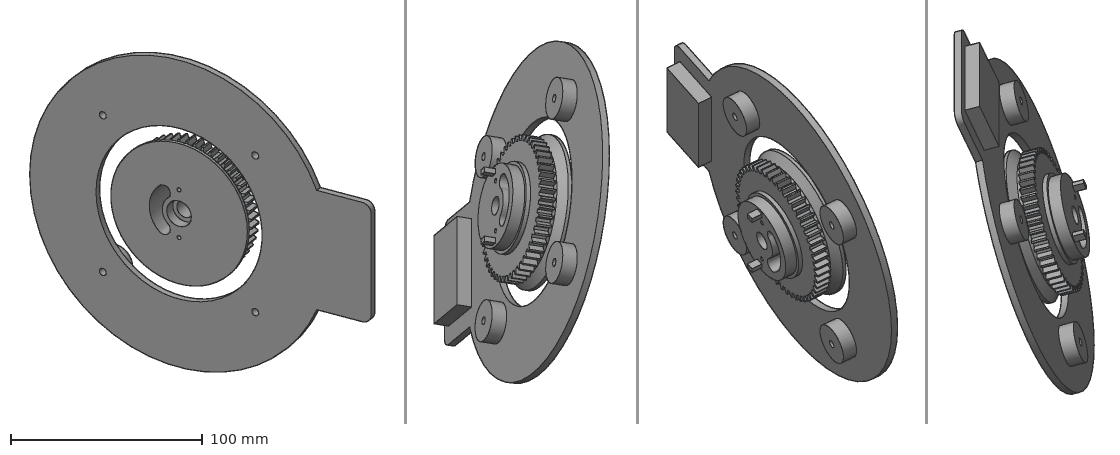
import cadquery as cq
import math


plate_diameter = 180.0
plate_radius = plate_diameter / 2
plate_thickness = 4.0
window_radius = 50.0
overall_length = 205.7
tab_end_x = overall_length - plate_radius
tab_width = 70.0
tab_corner_radius = 5.3

raised_height = 8.2
boss_radius = 11.1
boss_offset = 45.9
boss_hole_radius = 2.0
block_length = 30.0
block_width = 49.4
block_end_x = tab_end_x - tab_corner_radius

flange_radius = 41.1
flange_rim_end = 2.0
flange_taper_end = 6.2
tooth_tip_radius = 38.9
teeth_start = 8.0
teeth_end = 16.3
step_radius = 24.5
step_end = 18.7
hub_radius = 22.6
hub_end = 25.5

tooth_count = 50
groove_depth = 3.0
groove_floor_width = 1.6
groove_mouth_width = 4.0
tooth_root_radius = tooth_tip_radius - groove_depth

lug_end = 31.7
lug_length_x = 4.3
lug_width_z = 2.9
lug_offset_z = 19.3

bore_radius = 5.0
counterbore_radius = 7.5
counterbore_depth = 6.4
hole_circle_radius = 14.0
pin_hole_radius = 1.13
slot_half_width = 4.0
slot_half_angle = 49.0


def plane_at(y):
    """Sketch plane facing +Y at distance y; local x is -X and local y is Z."""
    return cq.Workplane("XZ", origin=(0, y, 0)).transformed(rotate=(0, 180, 0))


def cylinder(radius, start, end, x=0.0, z=0.0):
    """Solid cylinder along Y between two distances from the front face."""
    return plane_at(start).center(-x, z).circle(radius).extrude(end - start)


def box(x_start, x_end, y_start, y_end, z_center, z_width):
    """Axis-aligned box, centred on z_center."""
    size = (x_end - x_start, y_end - y_start, z_width)
    middle = ((x_start + x_end) / 2, (y_start + y_end) / 2, z_center)
    return cq.Workplane("XY").box(*size).translate(middle)


def make_plate():
    """Ring plate with a side tab, four drilled bosses and a block on its back."""
    tab = box(0, tab_end_x, 0, plate_thickness, 0, tab_width)
    tab = tab.edges("|Y and >X").fillet(tab_corner_radius)
    plate = cylinder(plate_radius, 0, plate_thickness).union(tab)
    plate = plate.cut(cylinder(window_radius, 0, plate_thickness))

    raised_end = plate_thickness + raised_height
    boss_centers = [(x, z) for x in (-boss_offset, boss_offset) for z in (-boss_offset, boss_offset)]
    for x, z in boss_centers:
        plate = plate.union(cylinder(boss_radius, plate_thickness, raised_end, x, z))
        plate = plate.cut(cylinder(boss_hole_radius, 0, raised_end, x, z))

    block = box(block_end_x - block_length, block_end_x, plate_thickness, raised_end, 0, block_width)
    return plate.union(block)


def make_pulley_blank():
    """Turned body: tapered front flange, plain tooth ring, step and hub."""
    profile = [
        (0, 0),
        (flange_radius, 0),
        (flange_radius, flange_rim_end),
        (tooth_root_radius, flange_taper_end),
        (tooth_root_radius, teeth_start),
        (tooth_tip_radius, teeth_start),
        (tooth_tip_radius, teeth_end),
        (step_radius, teeth_end),
        (step_radius, step_end),
        (hub_radius, step_end),
        (hub_radius, hub_end),
        (0, hub_end),
    ]
    return cq.Workplane("XY").polyline(profile).close().revolve(360, (0, 0), (0, 1))


def make_tooth_grooves():
    """Trapezoidal grooves around the tooth ring, placed so that one groove points along -X."""
    floor_half = groove_floor_width / 2
    mouth_half = groove_mouth_width / 2
    outer_radius = tooth_tip_radius + groove_depth
    outer_half = 2 * mouth_half - floor_half
    outline = [
        (tooth_root_radius, -floor_half),
        (outer_radius, -outer_half),
        (outer_radius, outer_half),
        (tooth_root_radius, floor_half),
    ]
    groove = plane_at(teeth_start).polyline(outline).close().extrude(teeth_end - teeth_start).val()
    pitch_angle = 360 / tooth_count
    grooves = [
        groove.rotate(cq.Vector(0, 0, 0), cq.Vector(0, 1, 0), index * pitch_angle)
        for index in range(tooth_count)
    ]
    return cq.Workplane(cq.Compound.makeCompound(grooves))


def make_arc_slot():
    """Round-ended slot along an arc centred on the -X side of the bore, through the pulley."""
    def point(radius, angle):
        return (radius * math.cos(math.radians(angle)), radius * math.sin(math.radians(angle)))

    inner = hole_circle_radius - slot_half_width
    outer = hole_circle_radius + slot_half_width
    half = slot_half_angle
    end_bulge = math.degrees(math.atan(slot_half_width / hole_circle_radius))
    tip_radius = math.hypot(hole_circle_radius, slot_half_width)
    return (
        plane_at(0)
        .moveTo(*point(outer, -half))
        .threePointArc(point(outer, 0), point(outer, half))
        .threePointArc(point(tip_radius, half + end_bulge), point(inner, half))
        .threePointArc(point(inner, 0), point(inner, -half))
        .threePointArc(point(tip_radius, -half - end_bulge), point(outer, -half))
        .close()
        .extrude(hub_end)
    )


def make_pulley():
    """Toothed pulley with drive lugs, stepped bore, two pin holes and an arc slot."""
    pulley = make_pulley_blank().cut(make_tooth_grooves())
    pulley = pulley.cut(cylinder(bore_radius, 0, hub_end))
    pulley = pulley.cut(cylinder(counterbore_radius, 0, counterbore_depth))
    pulley = pulley.cut(make_arc_slot())
    for side in (-1, 1):
        pulley = pulley.cut(cylinder(pin_hole_radius, 0, hub_end, 0, side * hole_circle_radius))
        pulley = pulley.union(box(0, lug_length_x, hub_end, lug_end, side * lug_offset_z, lug_width_z))
    return pulley


plate = make_plate()
pulley = make_pulley()

result = cq.Compound.makeCompound([plate.val(), pulley.val()])